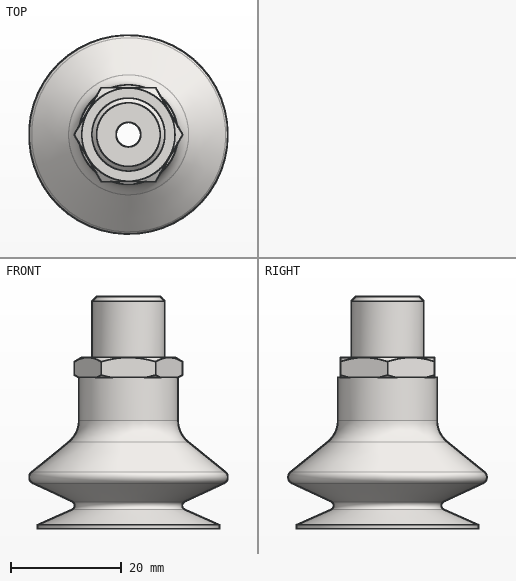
import cadquery as cq
import math

total_height = 42.0
bore_diameter = 4.4

lip_radius = 16.5
neck_radius = 9.75
neck_height = 4.2
neck_groove_radius = 0.78
rim_outer_radius = 18.0
rim_round_radius = 1.22
lip_slope = math.radians(24.0)
fold_slope = math.radians(25.0)
shoulder_slope = math.radians(39.0)

collar_radius = 9.0
collar_top = 27.4
collar_fillet_radius = 5.0

hex_across_flats = 17.0
hex_bottom = 27.0
hex_top = 31.0
hex_face_radius = 8.43
hex_chamfer_angle = math.radians(30.0)

stud_radius = 6.6
stud_chamfer = 0.85


def polar(center, radius, angle):
    """Point on a circle in the (r, z) profile plane."""
    return (
        center[0] + radius * math.cos(angle),
        center[1] + radius * math.sin(angle),
    )


def make_bellows():
    """Revolved cup: straight cones joined by tangent arcs."""
    up = math.pi / 2

    groove_center = (neck_radius + neck_groove_radius, neck_height)
    groove_low = polar(groove_center, neck_groove_radius, math.pi + up - lip_slope)
    groove_high = polar(groove_center, neck_groove_radius, up + fold_slope)
    lip_edge_height = groove_low[1] - (lip_radius - groove_low[0]) * math.tan(lip_slope)

    rim_center_radius = rim_outer_radius - rim_round_radius
    rim_low_radius = rim_center_radius + rim_round_radius * math.sin(fold_slope)
    rim_low_height = groove_high[1] + (rim_low_radius - groove_high[0]) * math.tan(fold_slope)
    rim_center_height = rim_low_height + rim_round_radius * math.cos(fold_slope)
    rim_center = (rim_center_radius, rim_center_height)
    rim_low = (rim_low_radius, rim_low_height)
    rim_outer = (rim_outer_radius, rim_center_height)
    rim_high = polar(rim_center, rim_round_radius, up - shoulder_slope)

    fillet_center_radius = collar_radius + collar_fillet_radius
    fillet_low_radius = fillet_center_radius - collar_fillet_radius * math.sin(shoulder_slope)
    fillet_low_height = rim_high[1] + (rim_high[0] - fillet_low_radius) * math.tan(shoulder_slope)
    fillet_center_height = fillet_low_height + collar_fillet_radius * math.cos(shoulder_slope)
    fillet_center = (fillet_center_radius, fillet_center_height)
    fillet_low = (fillet_low_radius, fillet_low_height)
    fillet_mid = polar(fillet_center, collar_fillet_radius, math.pi + (up - shoulder_slope) / 2)
    fillet_high = (collar_radius, fillet_center_height)

    profile = (
        cq.Workplane("XZ")
        .moveTo(0, 0)
        .lineTo(lip_radius, 0)
        .lineTo(lip_radius, lip_edge_height)
        .lineTo(*groove_low)
        .threePointArc((neck_radius, neck_height), groove_high)
        .lineTo(*rim_low)
        .threePointArc(rim_outer, rim_high)
        .lineTo(*fillet_low)
        .threePointArc(fillet_mid, fillet_high)
        .lineTo(collar_radius, collar_top)
        .lineTo(0, collar_top)
        .close()
    )
    return profile.revolve(360, (0, 0), (0, 1))


def make_hexagon():
    """Hexagonal prism with corners on the X axis, turned to a cone at both ends."""
    corner_radius = hex_across_flats / 2 / math.cos(math.pi / 6)
    corner_drop = (corner_radius - hex_face_radius) * math.tan(hex_chamfer_angle)
    prism = (
        cq.Workplane("XY")
        .workplane(offset=hex_bottom)
        .polygon(6, 2 * corner_radius)
        .extrude(hex_top - hex_bottom)
    )
    turned_blank = (
        cq.Workplane("XZ")
        .moveTo(0, hex_bottom)
        .lineTo(hex_face_radius, hex_bottom)
        .lineTo(corner_radius, hex_bottom + corner_drop)
        .lineTo(corner_radius, hex_top - corner_drop)
        .lineTo(hex_face_radius, hex_top)
        .lineTo(0, hex_top)
        .close()
        .revolve(360, (0, 0), (0, 1))
    )
    return prism.intersect(turned_blank)


def make_stud():
    """Cylindrical stud with a chamfered free end."""
    return (
        cq.Workplane("XY")
        .workplane(offset=hex_bottom)
        .circle(stud_radius)
        .extrude(total_height - hex_bottom)
        .faces(">Z")
        .chamfer(stud_chamfer)
    )


def make_bore():
    """Suction passage through the full height."""
    return cq.Workplane("XY").circle(bore_diameter / 2).extrude(total_height)


result = make_bellows().union(make_hexagon()).union(make_stud()).cut(make_bore())